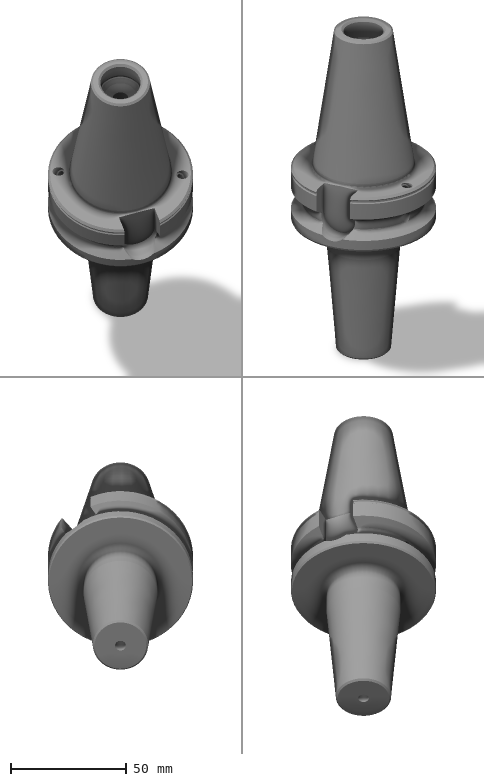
import cadquery as cq
import math

total_length = 155.4
gauge_level = 90.0
flange_top = 89.0
flange_bottom = 63.0
nose_cone_top = 51.0

gauge_radius = 22.2
taper_slope = 7 / 48
taper_base = gauge_level + 1.2
shank_chamfer = 0.8
neck_radius = 22.0
neck_top = 90.3
neck_fillet = 1.0

flange_radius = 63.0 / 2
top_chamfer = 1.0
bottom_chamfer_height = 1.0
bottom_chamfer_width = 0.5
marking_groove_top = flange_top - 1.1
marking_groove_height = 1.7
marking_groove_depth = 0.5
v_groove_radius = 53.0 / 2
v_groove_fillet = 0.6
v_groove_middle = 73.5
v_groove_floor = 4.7
v_groove_flank_angle = math.radians(30)

nose_radius = 16.0
nose_tip_radius = 12.0
nose_fillet = 2.5
nose_chamfer = 0.8

mouth_radius = 9.6
bore_radius = 8.7
bore_depth = 7.1
relief_radius = 9.3
relief_width = 1.7
seat_radius = 7.0
core_hole_radius = 3.5
bore_cone_half_angle = math.radians(59)
core_hole_depth = 18.6
through_radius = 2.3

slot_width = 16.2
slot_floor = 22.5
slot_bottom = 66.7

coolant_angle = 70
inlet_radius = 26.9
inlet_tilt = math.radians(30)
inlet_depth = 1.9
inlet_lead = 3.1
feed_diameter = 2.8
port_diameter = 4.5
passage_diameter = 3.1
port_level = 73.2
port_floor_radius = 21.1
passage_end_radius = 17.1


def taper_radius(level):
    return gauge_radius - (level - gauge_level) * taper_slope


def make_body():
    groove_drop = (flange_radius - v_groove_radius) * math.tan(v_groove_flank_angle)
    groove_floor_top = v_groove_middle + v_groove_floor / 2
    groove_floor_bottom = v_groove_middle - v_groove_floor / 2
    marking_radius = flange_radius - marking_groove_depth
    marking_groove_bottom = marking_groove_top - marking_groove_height
    fillet_rise = v_groove_fillet * math.tan((math.pi / 2 - v_groove_flank_angle) / 2)
    fillet_end_run = fillet_rise * math.cos(v_groove_flank_angle)
    fillet_end_drop = fillet_rise * math.sin(v_groove_flank_angle)
    shoulder = nose_radius + nose_fillet
    profile = (
        cq.Workplane("XZ")
        .lineTo(nose_tip_radius - nose_chamfer, 0)
        .lineTo(nose_tip_radius, nose_chamfer)
        .lineTo(nose_radius, nose_cone_top)
        .lineTo(nose_radius, flange_bottom - nose_fillet)
        .tangentArcPoint((shoulder, flange_bottom), relative=False)
        .lineTo(flange_radius - bottom_chamfer_width, flange_bottom)
        .lineTo(flange_radius, flange_bottom + bottom_chamfer_height)
        .lineTo(flange_radius, groove_floor_bottom - groove_drop)
        .lineTo(v_groove_radius + fillet_end_run, groove_floor_bottom - fillet_end_drop)
        .tangentArcPoint((v_groove_radius, groove_floor_bottom + fillet_rise), relative=False)
        .lineTo(v_groove_radius, groove_floor_top - fillet_rise)
        .tangentArcPoint(
            (v_groove_radius + fillet_end_run, groove_floor_top + fillet_end_drop), relative=False
        )
        .lineTo(flange_radius, groove_floor_top + groove_drop)
        .lineTo(flange_radius, marking_groove_bottom)
        .lineTo(marking_radius, marking_groove_bottom + marking_groove_depth)
        .lineTo(marking_radius, marking_groove_top - marking_groove_depth)
        .lineTo(flange_radius, marking_groove_top)
        .lineTo(flange_radius, flange_top - top_chamfer)
        .lineTo(flange_radius - top_chamfer, flange_top)
        .lineTo(neck_radius + neck_fillet, flange_top)
        .tangentArcPoint((neck_radius, flange_top + neck_fillet), relative=False)
        .lineTo(neck_radius, neck_top)
        .lineTo(taper_radius(taper_base), taper_base)
        .lineTo(taper_radius(total_length - shank_chamfer), total_length - shank_chamfer)
        .lineTo(taper_radius(total_length) - shank_chamfer, total_length)
        .lineTo(0, total_length)
        .close()
    )
    return profile.revolve(360, (0, 0, 0), (0, 1, 0))


def make_bore():
    mouth_chamfer = mouth_radius - bore_radius
    bore_end = total_length - bore_depth
    bore_floor = bore_end - relief_width
    seat_level = bore_floor - (bore_radius - seat_radius)
    cone_drop = (seat_radius - core_hole_radius) / math.tan(bore_cone_half_angle)
    step_level = total_length - core_hole_depth
    profile = (
        cq.Workplane("XZ")
        .lineTo(through_radius, 0)
        .lineTo(through_radius, step_level)
        .lineTo(core_hole_radius, step_level)
        .lineTo(core_hole_radius, seat_level - cone_drop)
        .lineTo(seat_radius, seat_level)
        .lineTo(bore_radius, bore_floor)
        .lineTo(relief_radius, bore_floor)
        .lineTo(relief_radius, bore_end)
        .lineTo(bore_radius, bore_end)
        .lineTo(bore_radius, total_length - mouth_chamfer)
        .lineTo(mouth_radius, total_length)
        .lineTo(0, total_length)
        .close()
    )
    return profile.revolve(360, (0, 0, 0), (0, 1, 0))


def make_drive_slot():
    slot_radius = slot_width / 2
    round_center = slot_bottom + slot_radius
    return (
        cq.Workplane("YZ", origin=(slot_floor, 0, 0))
        .moveTo(-slot_radius, total_length)
        .lineTo(-slot_radius, round_center)
        .threePointArc((0, slot_bottom), (slot_radius, round_center))
        .lineTo(slot_radius, total_length)
        .close()
        .extrude(flange_radius)
    )


def drill(start, direction, diameter, depth):
    cylinder = cq.Solid.makeCylinder(diameter / 2, depth, cq.Vector(*start), cq.Vector(*direction))
    return cq.Workplane(cylinder)


def make_coolant_passage():
    """Stepped radial port in the V-groove and tilted inlet in the flange top, in the XZ plane."""
    port_start = (flange_radius, 0, port_level)
    inward = (-1, 0, 0)
    port = drill(port_start, inward, port_diameter, flange_radius - port_floor_radius)
    passage = drill(port_start, inward, passage_diameter, flange_radius - passage_end_radius)

    down = (-math.sin(inlet_tilt), 0, -math.cos(inlet_tilt))
    inlet_start = (
        inlet_radius + inlet_lead * math.sin(inlet_tilt),
        0,
        flange_top + inlet_lead * math.cos(inlet_tilt),
    )
    reach = inlet_lead + (flange_top - port_level) / math.cos(inlet_tilt)
    inlet = drill(inlet_start, down, port_diameter, inlet_lead + inlet_depth)
    feed = drill(inlet_start, down, feed_diameter, reach)
    return port.union(passage).union(inlet).union(feed)


result = make_body().cut(make_bore())
for side_angle in (0, 180):
    result = result.cut(make_drive_slot().rotate((0, 0, 0), (0, 0, 1), side_angle))
    result = result.cut(make_coolant_passage().rotate((0, 0, 0), (0, 0, 1), side_angle + coolant_angle))